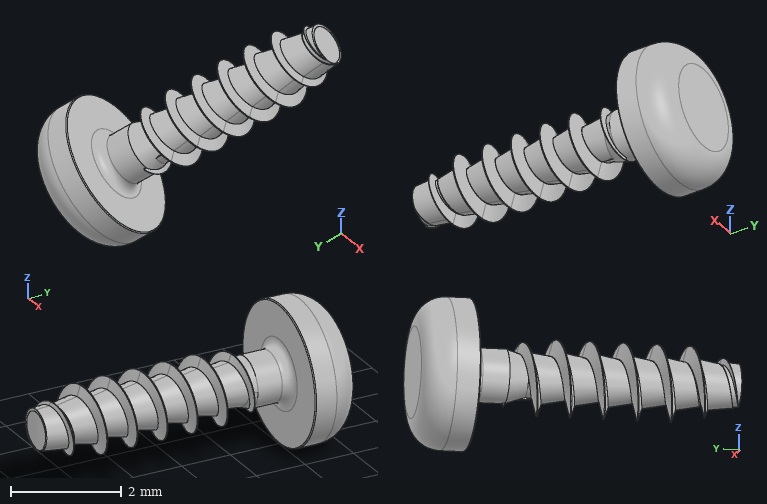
import math

import cadquery as cq


head_radius = 1.4
head_height = 1.0
head_round = 0.56
head_edge_chamfer = 0.02

neck_radius = 0.5
flare_round = 0.2
neck_length = 0.7

core_radius = 0.38
screw_length = 5.0
neck_taper_depth = 1.07
tip_rim_radius = 0.375
tip_dish_depth = 0.03

pitch = 0.62
crest_radius = 0.7
crest_width = 0.02
head_flank_width = 0.1
tip_flank_width = 0.07
ramp_radius = 0.485
ramp_end_radius = 0.4
ramp_end = 0.52
root_radius = 0.36
thread_start_depth = 0.67
thread_start_angle = -90.0
segment_turns = 0.5
segment_count = 14
thread_turns = segment_count * segment_turns

start_height = 0.5
end_height = 0.03
run_in_turns = 1.0
run_out_turns = 1.5
steps_per_segment = 8


def head_and_core():
    """Revolve the head, the flared neck and the plain core."""
    flare_middle = flare_round * (1 - math.sqrt(0.5))
    round_middle = head_round * math.sqrt(0.5)
    round_centre = (head_radius - head_round, head_height - head_round)

    return (
        cq.Workplane("XY")
        .moveTo(0, head_height)
        .lineTo(round_centre[0], head_height)
        .threePointArc(
            (round_centre[0] + round_middle, round_centre[1] + round_middle),
            (head_radius, round_centre[1]),
        )
        .lineTo(head_radius, head_edge_chamfer)
        .lineTo(head_radius - head_edge_chamfer, 0)
        .lineTo(neck_radius + flare_round, 0)
        .threePointArc((neck_radius + flare_middle, -flare_middle), (neck_radius, -flare_round))
        .lineTo(neck_radius, -neck_length)
        .lineTo(core_radius, -neck_taper_depth)
        .lineTo(core_radius, -screw_length)
        .lineTo(tip_rim_radius, -screw_length)
        .lineTo(0, tip_dish_depth - screw_length)
        .close()
        .revolve(360, (0, 0), (0, 1))
    )


def height_share(turn):
    """Thread height as a share of its full height after a number of turns."""
    run_in = start_height + (1 - start_height) * turn / run_in_turns
    run_out = end_height + (1 - end_height) * (thread_turns - turn) / run_out_turns
    return min(1.0, run_in, run_out)


def thread_profile(turn):
    """Corners of the thread section as (radius, depth from the crest)."""
    share = height_share(turn)
    half_crest = crest_width / 2 * share
    crest = ramp_end_radius + (crest_radius - ramp_end_radius) * share
    ramp = ramp_end_radius + (ramp_radius - ramp_end_radius) * share
    return [
        (root_radius, -half_crest - head_flank_width * share),
        (crest, -half_crest),
        (crest, half_crest),
        (ramp, half_crest + tip_flank_width * share),
        (ramp_end_radius, ramp_end),
        (root_radius, ramp_end),
    ]


def thread_point(turn, corner):
    """Place one profile corner on its right-handed helix."""
    radius, offset = thread_profile(turn)[corner]
    angle = math.radians(thread_start_angle + 360 * turn)
    depth = thread_start_depth + pitch * turn + offset
    return cq.Vector(radius * math.cos(angle), -depth, radius * math.sin(angle))


def thread_segment(first_turn):
    """Build one segment of the thread as ruled faces between helical edges."""
    corner_count = len(thread_profile(first_turn))
    turns = [
        first_turn + segment_turns * step / steps_per_segment
        for step in range(steps_per_segment + 1)
    ]
    helices = [
        cq.Edge.makeSpline([thread_point(turn, corner) for turn in turns], parameters=turns)
        for corner in range(corner_count)
    ]
    faces = [
        cq.Face.makeRuledSurface(helices[corner - 1], helices[corner])
        for corner in range(corner_count)
    ]
    for turn in (turns[0], turns[-1]):
        corners = [thread_point(turn, corner) for corner in range(corner_count)]
        faces.append(cq.Face.makeFromWires(cq.Wire.makePolygon(corners, close=True)))
    return cq.Workplane(cq.Solid.makeSolid(cq.Shell.makeShell(faces)))


def beyond_tip():
    """Block that trims the thread flush with the tip face."""
    size = 2 * head_radius
    return cq.Workplane("XY").box(size, size, size).translate((0, -screw_length - size / 2, 0))


result = head_and_core()
for segment in range(segment_count):
    result = result.union(thread_segment(segment * segment_turns))
result = result.cut(beyond_tip())